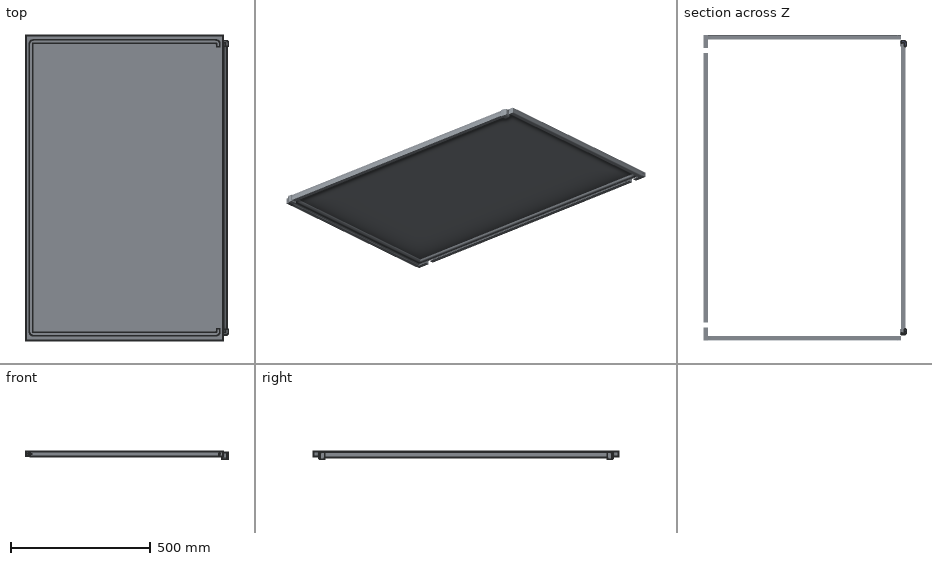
import cadquery as cq

overall_x = 727.5
length = 1096.0
overall_z = 28.97
door_width = 709.0
sheet = 1.5

side_depth = 20.0
lock_depth = 17.0
return_width = 16.0
end_bend = 2.5

notch_start = 46.0
notch_width = 19.0
notch_top = -3.5
slot_start = 84.0
slot_width = 12.0
slot_top = -5.0
slot_height = 4.5
slit_width = 0.5
slit_starts = (19.0, 27.0)
slit_bottom = -10.5

seam_top = -3.0
hinge_seam_inset = 14.5
seam_positions = (return_width, door_width - hinge_seam_inset)
end_slot_z = -8.5
end_slot_height = 1.0
end_slots = ((8.0, 21.5), (seam_positions[1], 698.0))

channel_bottom = -23.8
channel_outer_x = 723.5
channel_lip_top = -3.5
channel_inner_top = -4.0

gasket_inset_x = 13.5
gasket_inset_y = 17.5
gasket_width = 12.0
gasket_height = 8.5
gasket_corner = 8.0
gasket_hinge_x = 697.0
gasket_end = 42.0

block_inset = 19.5
block_length = 21.0
block_top = -4.0
block_foot_x = 704.0
block_corner = 6.0
block_bottom_round = 8.0
pocket_x = 711.5
pocket_width = 7.5
pocket_floor = -20.0
pocket_end_wall = 8.0

channel_start = block_inset + block_length


def box(x0, x1, y0, y1, z0, z1):
    """A box between two corners."""
    return cq.Workplane("XY").box(x1 - x0, y1 - y0, z1 - z0, centered=False).translate((x0, y0, z0))


def mirrored(shape):
    """The same shape at the other end of the door."""
    return shape.mirror("XZ", (0, length / 2, 0))


def make_tray():
    """Face sheet with folded walls and inward return flanges."""
    tray = box(0, door_width, 0, length, -sheet, 0)
    lock_wall = box(0, sheet, 0, length, -lock_depth, 0)
    lock_return = box(0, return_width, 0, length, -lock_depth, sheet - lock_depth)
    hinge_wall = box(door_width - sheet, door_width, 0, length, -side_depth, 0)
    tray = tray.union(lock_wall).union(lock_return).union(hinge_wall)

    end_wall = box(0, door_width, 0, sheet, -lock_depth, 0)
    end_wall = end_wall.union(box(return_width, door_width, 0, sheet, -side_depth, 0))
    end_return = box(return_width, door_width, 0, return_width, -side_depth, sheet - side_depth)
    end = end_wall.union(end_return).edges("|X and <Y and <Z").fillet(end_bend)
    return tray.union(end).union(mirrored(end))


def make_channel():
    """Upturned channel that continues the hinge-edge wall between the hinge blocks."""
    end = length - channel_start
    wall_x = door_width - sheet
    wall = box(wall_x, door_width, channel_start, end, channel_bottom, -sheet)
    doubled_wall = box(door_width, door_width + sheet, channel_start, end, channel_bottom, channel_inner_top)
    base = box(wall_x, channel_outer_x, channel_start, end, channel_bottom, channel_bottom + sheet)
    lip = box(channel_outer_x - sheet, channel_outer_x, channel_start, end, channel_bottom, channel_lip_top)
    return wall.union(doubled_wall).union(base).union(lip)


def lock_edge_cuts():
    """Notch, slot and slits near one end of the wall at X = 0."""
    notch = box(0, return_width, notch_start, notch_start + notch_width, -lock_depth, notch_top)
    slot = box(0, sheet, slot_start, slot_start + slot_width, slot_top - slot_height, slot_top)
    cuts = notch.union(slot)
    for start in slit_starts:
        cuts = cuts.union(box(0, sheet, start, start + slit_width, slit_bottom, seam_top))
    return cuts


def end_wall_cuts():
    """Corner seams and short slots in one end wall."""
    cuts = cq.Workplane("XY")
    for x in seam_positions:
        cuts = cuts.add(box(x, x + slit_width, 0, sheet, sheet - side_depth, seam_top))
    for x0, x1 in end_slots:
        cuts = cuts.add(box(x0, x1, 0, sheet, end_slot_z - end_slot_height, end_slot_z))
    return cuts.combine()


def make_door():
    """Tray and channel as one folded sheet, with its openings cut at both ends."""
    door = make_tray().union(make_channel())
    for cuts in (lock_edge_cuts(), end_wall_cuts()):
        door = door.cut(cuts).cut(mirrored(cuts))
    return door


def gasket_path():
    """Centre line of the gasket on the underside of the face sheet."""
    radius = gasket_width / 2
    left = gasket_inset_x + radius
    right = gasket_hinge_x - radius
    near = gasket_inset_y + radius
    far = length - near
    bend = gasket_corner
    return (
        cq.Workplane("XY", origin=(0, 0, -sheet))
        .moveTo(right, gasket_end)
        .lineTo(right, near + bend)
        .tangentArcPoint((right - bend, near), relative=False)
        .lineTo(left + bend, near)
        .tangentArcPoint((left, near + bend), relative=False)
        .lineTo(left, far - bend)
        .tangentArcPoint((left + bend, far), relative=False)
        .lineTo(right - bend, far)
        .tangentArcPoint((right, far - bend), relative=False)
        .lineTo(right, length - gasket_end)
    )


def make_gasket():
    """Half-round foam strip swept along its centre line."""
    radius = gasket_width / 2
    middle = gasket_hinge_x - radius
    flank_depth = gasket_height - radius
    return (
        cq.Workplane("XZ", origin=(middle, gasket_end, -sheet))
        .moveTo(-radius, 0)
        .lineTo(-radius, -flank_depth)
        .threePointArc((0, -gasket_height), (radius, -flank_depth))
        .lineTo(radius, 0)
        .close()
        .sweep(gasket_path())
    )


def make_hinge_block():
    """Block beside the hinge edge, with a foot under the door and a pocket facing the channel."""
    end = block_inset + block_length
    block = box(door_width, overall_x, block_inset, end, -overall_z, block_top)
    block = block.edges("|Z and >X and <Y").chamfer(block_corner)
    foot = box(block_foot_x, door_width, block_inset, end, -overall_z, -side_depth)
    pocket_start = block_inset + pocket_end_wall
    pocket = box(pocket_x, pocket_x + pocket_width, pocket_start, end, pocket_floor, block_top)
    block = block.union(foot).cut(pocket)
    return block.edges("|X and <Y and <Z").fillet(block_bottom_round)


door = make_door()
gasket = make_gasket()
near_block = make_hinge_block()
hinge_blocks = [near_block, mirrored(near_block)]

result = cq.Compound.makeCompound([door.val(), gasket.val(), *[block.val() for block in hinge_blocks]])